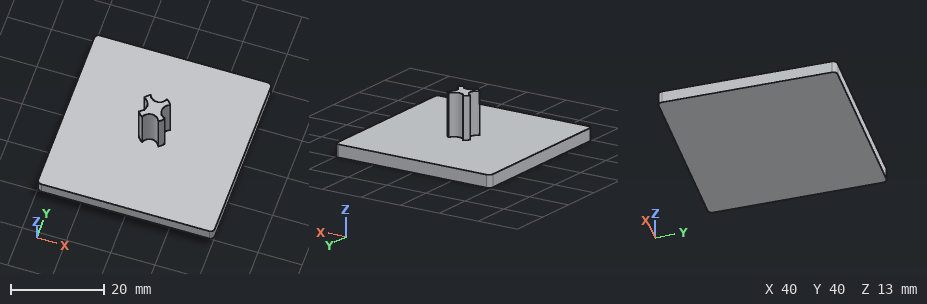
import cadquery as cq

plate_side = 40.0
plate_thickness = 3.0
corner_radius = 1.0

post_height = 10.0
post_radius = 3.5
flute_radius = 1.9
flute_offset = 3.6


def make_plate():
    plate = cq.Workplane("XY").rect(plate_side, plate_side).extrude(plate_thickness)
    return plate.edges("|Z").fillet(corner_radius)


def make_post():
    top_of_plate = cq.Workplane("XY").workplane(offset=plate_thickness)
    post = top_of_plate.circle(post_radius).extrude(post_height)
    flutes = (
        top_of_plate.polarArray(flute_offset, 0, 360, 4)
        .circle(flute_radius)
        .extrude(post_height)
    )
    return post.cut(flutes)


result = make_plate().union(make_post())